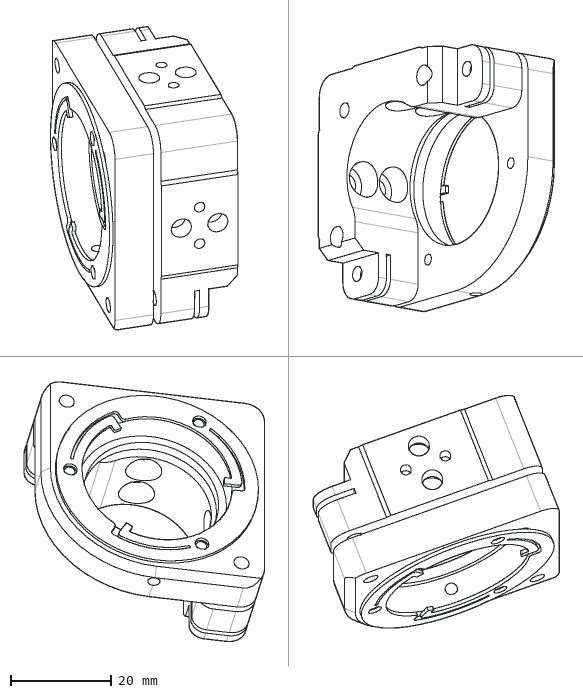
import cadquery as cq
import math


side = 22.0
reach = 23.25
corner_radius = 4.0
corner_hole_diameter = 3.0
corner_hole_far = -18.3
corner_hole_near = 17.3
corner_hole_diagonal = 13.8

plate_thickness = 8.03
plate_chamfer = 1.65
bore_radius = 15.3
lip_radius = 13.73
lip_thickness = 2.3
set_screw_diameter = 2.4
set_screw_setback = 2.95

ring_thickness = 0.75
ring_radius = 20.6
ring_screw_offset = 17.7
ring_screw_angle = 61.0
ring_hole_diameter = 2.75
plate_screw_diameter = 2.15
arm_count = 3
slot_outer_radius = 17.85
slot_inner_radius = 17.3
slot_end_angle = 51.5
gap_low = -0.75
gap_high = 0.6
arm_round = 0.78
hook_tip = 13.65
hook_end = 2.15
hook_round = 0.3

frame_gap = 1.55
frame_depth = 16.0
frame_inner_radius = 13.0
leg_inner = 10.35
blend_radius = 6.05
ear_inner_radius = 3.0
block_end = 15.25
block_chamfer = 2.2
ear_depth = 10.05
slot_near = 7.0
slot_width = 1.05
pad_height = 0.35
pad_half_base = 11.3
pad_half_top = 10.45
bolt_diameter = 4.15
bolt_head_diameter = 7.2
bolt_seat = 18.25
bolt_spacing = 7.6
bolt_middle = 8.0
pin_diameter = 2.15
pin_depth = 3.65
pin_spacing = 8.45
rear_hole_diameter = 4.1
rear_hole_depth = 4.55
rear_hole_x = -11.67
rear_hole_z = 16.32

frame_front = frame_gap
frame_rear = frame_front + frame_depth
plate_front = -plate_thickness


def facing_front(y):
    """Sketch plane at the given Y; sketch axes are X and Z, extrusion runs towards -Y."""
    return cq.Workplane("XZ", origin=(0, y, 0))


def rod(diameter, points, y_from, y_to):
    """Cylinders along Y between two Y levels."""
    return facing_front(y_to).pushPoints(points).circle(diameter / 2).extrude(y_to - y_from)


def box(x_range, y_range, z_range):
    """Block between the low and high values of each axis."""
    sizes = [high - low for low, high in (x_range, y_range, z_range)]
    corner = (x_range[0], y_range[0], z_range[0])
    return cq.Workplane("XY").box(*sizes, centered=False).translate(corner)


def polar(radius, degrees):
    """Point at a radius and an angle about the bore axis, measured from +X towards +Z."""
    return (radius * math.cos(math.radians(degrees)), radius * math.sin(math.radians(degrees)))


def swapped(body):
    """Mirror image in the plane X = Z, which turns the top leg into the side leg."""
    return body.mirror(cq.Vector(1, 0, -1), (0, 0, 0))


def both_legs(body):
    """A feature of the top leg together with its copy on the side leg."""
    return body.union(swapped(body))


corner_holes = [
    (corner_hole_far, corner_hole_near),
    (corner_hole_near, corner_hole_far),
    (corner_hole_diagonal, corner_hole_diagonal),
]
ring_screws = [
    polar(ring_screw_offset, ring_screw_angle + 360 / arm_count * i) for i in range(arm_count)
]


def frame_profile():
    """L outline: two rounded ears joined around a circular inner side."""
    blend_x = -math.sqrt(
        (frame_inner_radius + blend_radius) ** 2 - (leg_inner + blend_radius) ** 2
    )
    share = frame_inner_radius / (frame_inner_radius + blend_radius)
    touch_x = blend_x * share
    touch_z = (leg_inner + blend_radius) * share
    diagonal = frame_inner_radius * math.sqrt(0.5)
    return (
        facing_front(frame_rear)
        .moveTo(0, side)
        .lineTo(side - corner_radius, side)
        .tangentArcPoint((side, side - corner_radius), relative=False)
        .lineTo(side, corner_radius - reach)
        .tangentArcPoint((side - corner_radius, -reach), relative=False)
        .lineTo(leg_inner + ear_inner_radius, -reach)
        .tangentArcPoint((leg_inner, ear_inner_radius - reach), relative=False)
        .lineTo(leg_inner, blend_x)
        .tangentArcPoint((touch_z, touch_x), relative=False)
        .threePointArc((diagonal, diagonal), (touch_x, touch_z))
        .tangentArcPoint((blend_x, leg_inner), relative=False)
        .lineTo(ear_inner_radius - reach, leg_inner)
        .tangentArcPoint((-reach, leg_inner + ear_inner_radius), relative=False)
        .lineTo(-reach, side - corner_radius)
        .tangentArcPoint((corner_radius - reach, side), relative=False)
        .close()
    )


def pad():
    """Raised mounting pad on the +Z side, with sloping ends."""
    return (
        facing_front(frame_rear)
        .moveTo(-pad_half_base, side)
        .lineTo(-pad_half_top, side + pad_height)
        .lineTo(pad_half_top, side + pad_height)
        .lineTo(pad_half_base, side)
        .close()
        .extrude(frame_depth)
    )


def ear_clearance():
    """Space behind the top ear, with the chamfered block end, and the clamp slot in the ear."""
    rear_step = (
        cq.Workplane("XY")
        .moveTo(-reach, frame_front + ear_depth)
        .lineTo(-block_end, frame_front + ear_depth)
        .lineTo(-block_end, frame_rear - block_chamfer)
        .lineTo(block_chamfer - block_end, frame_rear)
        .lineTo(-reach, frame_rear)
        .close()
        .extrude(side)
    )
    slot_front = frame_front + slot_near
    slot = box((-reach, -block_end), (slot_front, slot_front + slot_width), (0, side))
    return rear_step.union(slot)


def mounting_holes():
    """Counterbored bolt holes and blind pin holes in the top pad."""
    middle = frame_front + bolt_middle
    rows = [(0, middle - bolt_spacing / 2), (0, middle + bolt_spacing / 2)]
    pins = [(-pin_spacing / 2, middle), (pin_spacing / 2, middle)]
    top = side + pad_height
    bolts = cq.Workplane("XY").pushPoints(rows).circle(bolt_diameter / 2).extrude(top)
    heads = cq.Workplane("XY").pushPoints(rows).circle(bolt_head_diameter / 2).extrude(bolt_seat)
    pin_holes = (
        cq.Workplane("XY", origin=(0, 0, top))
        .pushPoints(pins)
        .circle(pin_diameter / 2)
        .extrude(-pin_depth)
    )
    return bolts.union(heads).union(pin_holes)


def make_frame():
    """L-shaped fixed frame behind the plate."""
    rear_hole = rod(
        rear_hole_diameter, [(rear_hole_x, rear_hole_z)], frame_rear - rear_hole_depth, frame_rear
    )
    return (
        frame_profile()
        .extrude(frame_depth)
        .union(both_legs(pad()))
        .cut(both_legs(ear_clearance()))
        .cut(both_legs(mounting_holes()))
        .cut(both_legs(rear_hole))
        .cut(rod(corner_hole_diameter, corner_holes, frame_front, frame_rear))
    )


def plate_blank():
    """Square plate with one large round corner, chamfered along that corner and its two sides."""
    mid = reach * math.sqrt(0.5)
    blank = (
        facing_front(0)
        .moveTo(-reach, side)
        .lineTo(side, side)
        .lineTo(side, -reach)
        .lineTo(0, -reach)
        .threePointArc((-mid, -mid), (-reach, 0))
        .close()
        .extrude(plate_thickness)
    )
    blank = blank.faces("<Y").edges("<X or <Z or %CIRCLE").chamfer(plate_chamfer)
    rounded_square = (
        box((-reach, side), (plate_front, 0), (-reach, side))
        .edges("|Y and (>X or >Z)")
        .fillet(corner_radius)
    )
    return blank.intersect(rounded_square)


def make_plate():
    """Moving plate with a bore that ends in a rear lip."""
    bore = rod(2 * bore_radius, [(0, 0)], plate_front, -lip_thickness)
    lip_bore = rod(2 * lip_radius, [(0, 0)], plate_front, 0)
    set_screw = (
        cq.Workplane("XY", origin=(0, plate_front + set_screw_setback, -reach))
        .circle(set_screw_diameter / 2)
        .extrude(reach)
    )
    return (
        plate_blank()
        .cut(bore)
        .cut(lip_bore)
        .cut(set_screw)
        .cut(rod(corner_hole_diameter, corner_holes, plate_front, 0))
        .cut(rod(plate_screw_diameter, ring_screws, plate_front, 0))
    )


def rounding(circle_radius, line_z, outward, upward):
    """Ends of an arc rounding the corner between a circle about the axis and a line of constant Z.

    outward and upward are the signed radius towards the arc centre, from the circle and the line.
    Returns the point on the circle and the point on the line.
    """
    centre_z = line_z + upward
    centre_radius = circle_radius + outward
    centre_x = math.sqrt(centre_radius**2 - centre_z**2)
    share = circle_radius / centre_radius
    return (centre_x * share, centre_z * share), (centre_x, line_z)


def arm_gap():
    """Radial gap and curved slot that free one spring arm."""
    mouth_circle, mouth_line = rounding(bore_radius, gap_low, arm_round, -arm_round)
    outer_circle, outer_line = rounding(slot_outer_radius, gap_low, -arm_round, arm_round)
    tip_circle, tip_line = rounding(slot_inner_radius, gap_high, -arm_round, arm_round)
    middle_angle = slot_end_angle / 2
    return (
        facing_front(plate_front)
        .moveTo(hook_tip, gap_high)
        .lineTo(*tip_line)
        .tangentArcPoint(tip_circle, relative=False)
        .threePointArc(polar(slot_inner_radius, middle_angle), polar(slot_inner_radius, slot_end_angle))
        .tangentArcPoint(polar(slot_outer_radius, slot_end_angle), relative=False)
        .threePointArc(polar(slot_outer_radius, middle_angle), outer_circle)
        .tangentArcPoint(outer_line, relative=False)
        .lineTo(*mouth_line)
        .tangentArcPoint(mouth_circle, relative=False)
        .lineTo(hook_tip, mouth_circle[1])
        .close()
        .extrude(ring_thickness)
    )


def arm_hook():
    """Finger at the free end of a spring arm, reaching over the bore."""
    root_circle, root_line = rounding(bore_radius, hook_end, -hook_round, hook_round)
    return (
        facing_front(plate_front)
        .moveTo(hook_tip, gap_high)
        .lineTo(hook_tip, hook_end - hook_round)
        .tangentArcPoint((hook_tip + hook_round, hook_end), relative=False)
        .lineTo(*root_line)
        .tangentArcPoint(root_circle, relative=False)
        .lineTo(bore_radius + hook_round, root_circle[1])
        .lineTo(bore_radius + hook_round, gap_high)
        .close()
        .extrude(ring_thickness)
    )


def make_spring_ring():
    """Flat ring with three curved spring arms whose hooks reach over the bore."""
    ring = facing_front(plate_front).circle(ring_radius).circle(bore_radius).extrude(ring_thickness)
    ring = ring.cut(rod(ring_hole_diameter, ring_screws, plate_front - ring_thickness, plate_front))
    for i in range(arm_count):
        turn = -360 / arm_count * i
        ring = ring.cut(arm_gap().rotate((0, 0, 0), (0, 1, 0), turn))
        ring = ring.union(arm_hook().rotate((0, 0, 0), (0, 1, 0), turn))
    return ring


frame = make_frame()
plate = make_plate()
spring_ring = make_spring_ring()

result = cq.Compound.makeCompound([frame.val(), plate.val(), spring_ring.val()])